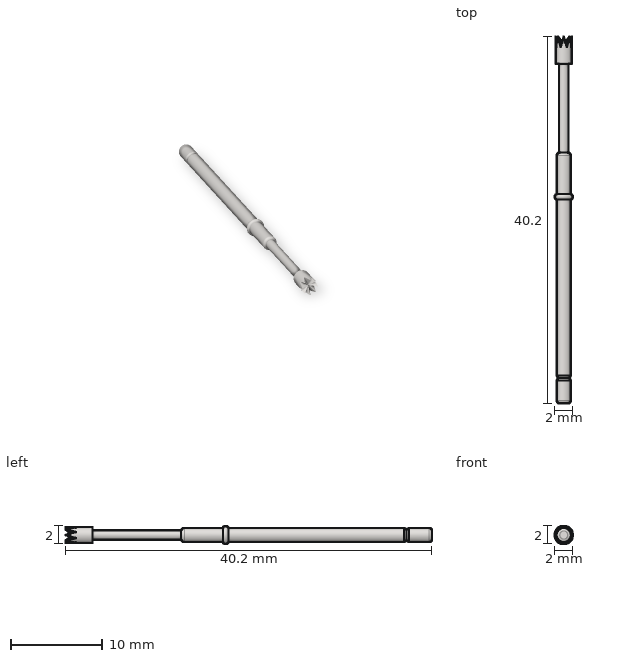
import cadquery as cq
import math


TOTAL_LENGTH = 40.2
BARREL_LENGTH = 27.5
HEAD_LENGTH = 3.0
COLLAR_Y = 22.63
COLLAR_WIDTH = 0.6
GROOVE_Y = 2.8
GROOVE_WIDTH = 0.56

HEAD_RADIUS = 1.8 / 2
PLUNGER_RADIUS = 1.06 / 2
BARREL_RADIUS = 1.58 / 2
COLLAR_RADIUS = 2.0 / 2
GROOVE_DEPTH = 0.18

BARREL_ROUND = 0.35
HEAD_ROUND = 0.1

TOOTH_COUNT = 8
CROWN_CENTRE_DEPTH = 0.8
CROWN_VALLEY_DEPTH = 1.15
CUTTER_OVERSIZE = 1.5


def cylinder_along_y(radius, start_y, end_y):
    """Round bar on the Y axis between two Y positions."""
    bar = cq.Workplane("XZ", origin=(0, start_y, 0)).circle(radius)
    return bar.extrude(start_y - end_y)


def make_barrel():
    """Barrel with rounded ends, a bulged press ring and a V groove."""
    inner_radius = BARREL_RADIUS - BARREL_ROUND
    arc_offset = BARREL_ROUND * math.sqrt(0.5)
    round_mid_radius = inner_radius + arc_offset
    front_round_y = BARREL_LENGTH - BARREL_ROUND
    profile = (
        cq.Workplane("XY")
        .lineTo(inner_radius, 0)
        .threePointArc((round_mid_radius, BARREL_ROUND - arc_offset), (BARREL_RADIUS, BARREL_ROUND))
        .lineTo(BARREL_RADIUS, GROOVE_Y - GROOVE_WIDTH / 2)
        .lineTo(BARREL_RADIUS - GROOVE_DEPTH, GROOVE_Y)
        .lineTo(BARREL_RADIUS, GROOVE_Y + GROOVE_WIDTH / 2)
        .lineTo(BARREL_RADIUS, COLLAR_Y - COLLAR_WIDTH / 2)
        .threePointArc((COLLAR_RADIUS, COLLAR_Y), (BARREL_RADIUS, COLLAR_Y + COLLAR_WIDTH / 2))
        .lineTo(BARREL_RADIUS, front_round_y)
        .threePointArc((round_mid_radius, front_round_y + arc_offset), (inner_radius, BARREL_LENGTH))
        .lineTo(0, BARREL_LENGTH)
        .close()
    )
    return profile.revolve(360, (0, 0, 0), (0, 1, 0))


def crown_cutter():
    """Block above the crown; its underside is a star of flat facets.

    The facets meet at a point on the axis. They rise outward to each tooth tip and fall outward
    to each valley. The star is scaled up from its centre point so it overhangs the head.
    """
    centre_y = TOTAL_LENGTH - CROWN_CENTRE_DEPTH
    tip_rise = CROWN_CENTRE_DEPTH
    valley_rise = CROWN_CENTRE_DEPTH - CROWN_VALLEY_DEPTH
    ring_radius = CUTTER_OVERSIZE * HEAD_RADIUS
    top_y = TOTAL_LENGTH + HEAD_LENGTH
    centre = cq.Vector(0, centre_y, 0)

    lower_ring = []
    upper_ring = []
    corner_count = 2 * TOOTH_COUNT
    for corner in range(corner_count):
        angle = 2 * math.pi * corner / corner_count
        x = ring_radius * math.sin(angle)
        z = ring_radius * math.cos(angle)
        rise = tip_rise if corner % 2 == 0 else valley_rise
        lower_ring.append(cq.Vector(x, centre_y + CUTTER_OVERSIZE * rise, z))
        upper_ring.append(cq.Vector(x, top_y, z))

    def flat_face(points):
        return cq.Face.makeFromWires(cq.Wire.makePolygon(points, close=True))

    faces = [flat_face(upper_ring)]
    for corner in range(corner_count):
        following = (corner + 1) % corner_count
        low_a, low_b = lower_ring[corner], lower_ring[following]
        faces.append(flat_face([centre, low_a, low_b]))
        faces.append(flat_face([low_a, low_b, upper_ring[following], upper_ring[corner]]))
    return cq.Workplane(cq.Solid.makeSolid(cq.Shell.makeShell(faces)))


def make_head():
    """Contact head, rounded at the plunger end and cut to a crown at the tip."""
    head = cylinder_along_y(HEAD_RADIUS, TOTAL_LENGTH - HEAD_LENGTH, TOTAL_LENGTH)
    head = head.faces("<Y").fillet(HEAD_ROUND)
    return head.cut(crown_cutter())


plunger = cylinder_along_y(PLUNGER_RADIUS, BARREL_LENGTH, TOTAL_LENGTH - HEAD_LENGTH)

result = make_barrel().union(plunger).union(make_head())